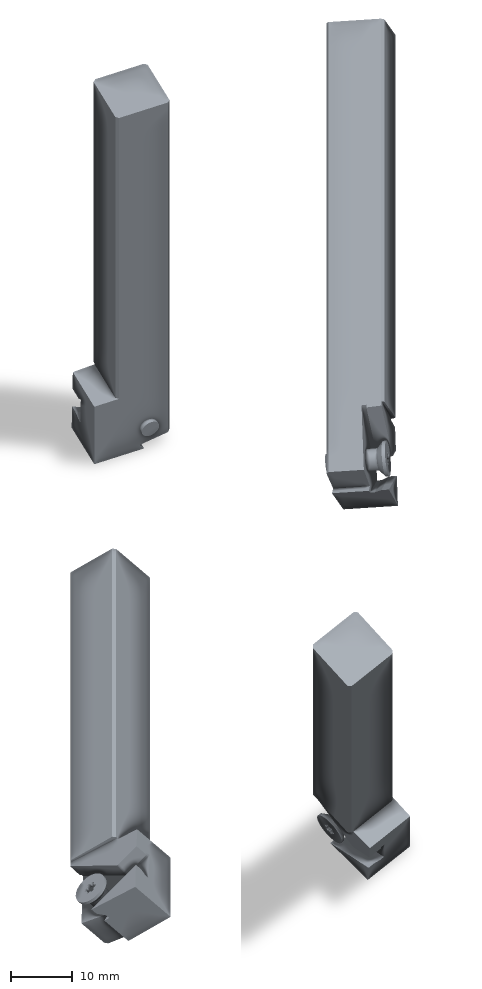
import cadquery as cq
import math

LENGTH = 78.4
WIDTH = 9.6
EDGE_CHAMFER = 0.5

FRONT_Y = -3.9
HEAD_TOP = 13.3
FACE_TOP = 13.6
REAR_BOTTOM = 2.1
NOTCH_Y = 3.9
NOTCH_BOTTOM = 1.1

FACE_X = 0.55
TILT_Y = 0.047
TILT_Z = 0.035
POCKET_DEPTH = 3.3
CLEARANCE = 15.7

WALL_SLOPE = math.tan(math.radians(30))
VERTEX_Y = -0.15
VERTEX_Z = 7.2
VERTEX_RADIUS = 0.5
JAW_FRONT_Z = 5.1
GROOVE_HEIGHT = 0.8
GROOVE_OFFSET = 0.5
UNDERCUT_HEIGHT = 2.0
UNDERCUT_DEPTH = 0.5

SCREW_CENTRE = (0.2, 5.25, 5.2)
HEAD_RADIUS = 2.9
RIM_HEIGHT = 0.55
CONE_END = 1.6
NECK_RADIUS = 1.8
THREAD_RADIUS = 1.6
SCREW_LENGTH = 10.0
SOCKET_RADIUS = 0.82
SOCKET_DEPTH = 0.8
LOBE_COUNT = 6
LOBE_RADIUS = 0.3

NORMAL = cq.Vector(-1, -TILT_Y, TILT_Z).normalized()
ALONG = cq.Vector(TILT_Y, -1, 0).normalized()
face_plane = cq.Plane(origin=(FACE_X, FRONT_Y, 0), xDir=ALONG, normal=NORMAL)
floor_plane = cq.Plane(face_plane.toWorldCoords((0, 0, -POCKET_DEPTH)), ALONG, NORMAL)
screw_plane = cq.Plane(origin=SCREW_CENTRE, xDir=ALONG, normal=NORMAL)
FLOOR_DEPTH = (cq.Vector(*SCREW_CENTRE) - floor_plane.origin).dot(NORMAL)


def pocket_profile(wall_offset):
    """Opening between the V wall and the jaw, its wall raised by wall_offset."""
    wall_z = VERTEX_Z + wall_offset
    front_y = FRONT_Y - CLEARANCE
    rear_y = WIDTH + CLEARANCE
    points = [
        (front_y, wall_z + (VERTEX_Y - front_y) * WALL_SLOPE),
        (VERTEX_Y, wall_z),
        (rear_y, wall_z + (rear_y - VERTEX_Y) * WALL_SLOPE),
        (rear_y, JAW_FRONT_Z - (rear_y - FRONT_Y) * WALL_SLOPE),
        (front_y, JAW_FRONT_Z + (FRONT_Y - front_y) * WALL_SLOPE),
    ]
    local_points = [(FRONT_Y - y, z) for y, z in points]
    return cq.Workplane(floor_plane).polyline(local_points).close()


def insert_pocket():
    pocket = pocket_profile(0).extrude(CLEARANCE)
    vertex = cq.Vector(*floor_plane.toWorldCoords((FRONT_Y - VERTEX_Y, VERTEX_Z, CLEARANCE / 2)))
    pocket = pocket.edges(cq.selectors.NearestToPointSelector(vertex)).fillet(VERTEX_RADIUS)
    groove = pocket_profile(GROOVE_OFFSET).extrude(GROOVE_HEIGHT)
    jaw_direction = (ALONG + floor_plane.yDir * WALL_SLOPE).normalized()
    jaw_origin = floor_plane.toWorldCoords((-2 * CLEARANCE, JAW_FRONT_Z - 2 * CLEARANCE * WALL_SLOPE, 0))
    section = cq.Plane(jaw_origin, xDir=NORMAL, normal=jaw_direction)
    undercut = (
        cq.Workplane(section)
        .polyline([
            (0, 0),
            (0, UNDERCUT_DEPTH),
            (GROOVE_HEIGHT, UNDERCUT_DEPTH),
            (UNDERCUT_HEIGHT, 0),
        ])
        .close()
        .extrude(4 * CLEARANCE)
    )
    return pocket.union(groove).union(undercut)


def make_holder():
    shank = (
        cq.Workplane("XY")
        .box(WIDTH, WIDTH, LENGTH, centered=False)
        .edges("|Z")
        .chamfer(EDGE_CHAMFER)
    )
    front_block = (
        cq.Workplane("XY", origin=(0, FRONT_Y, 0))
        .box(WIDTH, EDGE_CHAMFER - FRONT_Y, HEAD_TOP, centered=False)
    )
    holder = shank.union(front_block)

    jaw_tip_y = FRONT_Y + JAW_FRONT_Z / WALL_SLOPE
    underside = (
        cq.Workplane("YZ")
        .polyline([
            (jaw_tip_y, 0),
            (NOTCH_Y, NOTCH_BOTTOM),
            (WIDTH, REAR_BOTTOM),
            (WIDTH, 0),
        ])
        .close()
        .extrude(WIDTH)
    )
    holder = holder.cut(underside)

    side_cut = cq.Workplane(face_plane).rect(4 * CLEARANCE, 4 * CLEARANCE).extrude(CLEARANCE)
    head_space = (
        cq.Workplane("XY")
        .box(4 * CLEARANCE, 4 * CLEARANCE, 2 * FACE_TOP)
    )
    holder = holder.cut(side_cut.intersect(head_space))
    holder = holder.cut(insert_pocket())

    screw_hole = cq.Workplane(screw_plane).circle(THREAD_RADIUS).extrude(-CLEARANCE)
    return holder.cut(screw_hole)


def make_screw():
    rim = cq.Workplane(screw_plane).circle(HEAD_RADIUS).extrude(-RIM_HEIGHT)
    cone = (
        cq.Workplane(screw_plane)
        .workplane(offset=-RIM_HEIGHT)
        .circle(HEAD_RADIUS)
        .workplane(offset=RIM_HEIGHT - CONE_END)
        .circle(NECK_RADIUS)
        .loft()
    )
    neck = (
        cq.Workplane(screw_plane)
        .workplane(offset=-CONE_END)
        .circle(NECK_RADIUS)
        .extrude(CONE_END - FLOOR_DEPTH)
    )
    thread = (
        cq.Workplane(screw_plane)
        .workplane(offset=-FLOOR_DEPTH)
        .circle(THREAD_RADIUS)
        .extrude(FLOOR_DEPTH - SCREW_LENGTH)
    )
    screw = rim.union(cone).union(neck).union(thread)

    socket = cq.Workplane(screw_plane).circle(SOCKET_RADIUS).extrude(-SOCKET_DEPTH)
    lobes = (
        cq.Workplane(screw_plane)
        .polarArray(SOCKET_RADIUS, 0, 360, LOBE_COUNT)
        .circle(LOBE_RADIUS)
        .extrude(-SOCKET_DEPTH)
    )
    return screw.cut(socket.union(lobes))


holder = make_holder()
screw = make_screw()
result = cq.Compound.makeCompound([holder.solids().val(), screw.solids().val()])